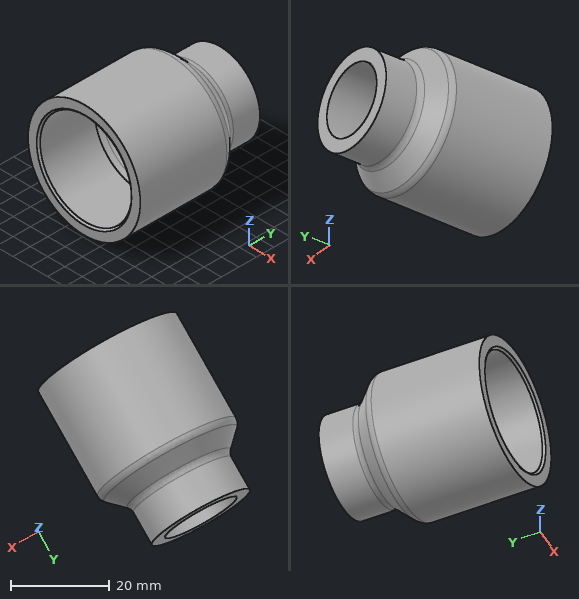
import cadquery as cq

total_length = 39.0
large_radius = 32.5 / 2
small_radius = 23.0 / 2
spigot_length = 8.65
blend_radius = 2.2

socket_radius = 26.4 / 2
mouth_chamfer = 0.5
socket_depth = 16.1
throat_radius = 24.1 / 2
throat_depth = 17.0
bore_radius = 16.65 / 2

mouth_y = -total_length / 2
taper_start_y = mouth_y + throat_depth
bore_start_y = taper_start_y + (throat_radius - bore_radius)
spigot_end_y = total_length / 2
cone_small_y = spigot_end_y - spigot_length
cone_large_y = cone_small_y - (large_radius - small_radius)


def outer_body():
    """Large cylinder, 45 degree cone and spigot, with both cone corners rounded."""
    profile = (
        cq.Workplane("YZ")
        .moveTo(mouth_y, 0)
        .lineTo(mouth_y, large_radius)
        .lineTo(cone_large_y, large_radius)
        .lineTo(cone_small_y, small_radius)
        .lineTo(spigot_end_y, small_radius)
        .lineTo(spigot_end_y, 0)
        .close()
    )
    body = profile.revolve(360, (0, 0, 0), (1, 0, 0))
    is_cone_corner = cq.selectors.BoxSelector(
        (-total_length, cone_large_y - blend_radius, -total_length),
        (total_length, cone_small_y + blend_radius, total_length),
    )
    return body.edges("%CIRCLE").edges(is_cone_corner).fillet(blend_radius)


def inner_passage():
    """Chamfered socket, shoulder and taper, then the straight bore to the small end."""
    profile = (
        cq.Workplane("YZ")
        .moveTo(mouth_y, 0)
        .lineTo(mouth_y, socket_radius + mouth_chamfer)
        .lineTo(mouth_y + mouth_chamfer, socket_radius)
        .lineTo(mouth_y + socket_depth, socket_radius)
        .lineTo(taper_start_y, throat_radius)
        .lineTo(bore_start_y, bore_radius)
        .lineTo(spigot_end_y, bore_radius)
        .lineTo(spigot_end_y, 0)
        .close()
    )
    return profile.revolve(360, (0, 0, 0), (1, 0, 0))


result = outer_body().cut(inner_passage())